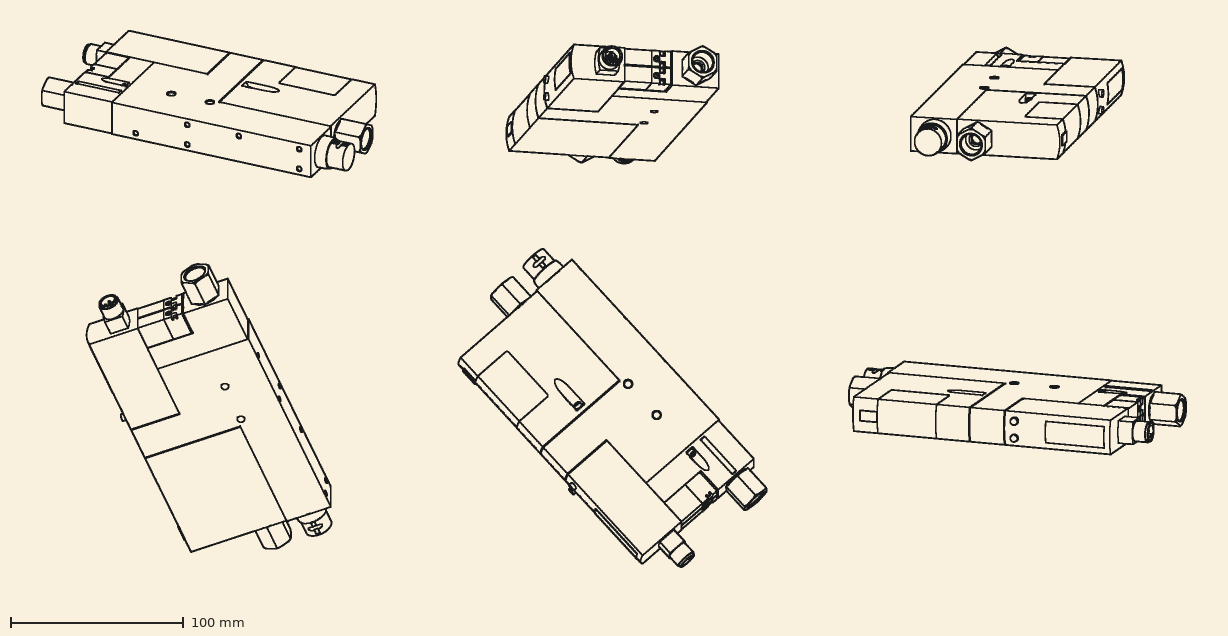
import cadquery as cq
import math


TOTAL_LENGTH = 193.6
HEIGHT = 20.5
HALF_HEIGHT = HEIGHT / 2
BACK_CENTRE_Y = 88.7
BACK_EDGE_Y = 87.0
JOINT_GAP = 0.5

LEFT_FACE_X = 17.8
INLET_FRONT_Y = 0.5
INLET_RIGHT_X = 48.5
ELECTRONICS_FRONT_Y = 56.7
ELECTRONICS_RIGHT_X = 82.5
COVER_FRONT_Y = 27.5
COVER_LEFT_X = 104.5
COVER_RIGHT_X = 175.8
MAIN_RIGHT_X = 176.4

COUNTERSINK_ANGLE = 90.0
THROUGH_HOLE_DIAMETER = 4.3
THROUGH_HOLE_MOUTH_DIAMETER = 5.2
THROUGH_HOLE_XS = (74.7, 99.5)
THROUGH_HOLE_Y = 25.2
FRONT_HOLE_DIAMETER = 2.5
FRONT_HOLE_MOUTH_DIAMETER = 3.3
FRONT_HOLE_DEPTH = 5.8
FRONT_HOLE_Z = 6.4
UPPER_FRONT_HOLE_XS = (97.0, 130.1, 168.8)
LOWER_FRONT_HOLE_XS = (63.9, 97.0, 168.8)

SILENCER_Y = 14.5
SILENCER_BASE_DIAMETER = 19.0
SILENCER_BASE_LENGTH = 7.0
SILENCER_BASE_END_DIAMETER = 17.8
SILENCER_DIAMETER = 16.0
SILENCER_SLIT_WIDTH = 2.3
SILENCER_SLIT_DEPTH = 0.5
SILENCER_SLIT_MARGIN = 0.8
SILENCER_GROOVE_DIAMETER = 2.5
SILENCER_GROOVE_X = 188.4

HEX_ACROSS_FLATS = 16.8
HEX_TIP_CHAMFER = 0.8
FITTING_LENGTH = 17.0
FITTING_NECK_LENGTH = 0.8
FITTING_NECK_DIAMETER = 16.3
FITTING_MOUTH_DIAMETER = 13.4
FITTING_BORE_DIAMETER = 12.0
FITTING_BORE_DEPTH = 11.6
FITTING_SEAT_DIAMETER = 8.0
FITTING_PASSAGE_DIAMETER = 6.0
FITTING_PASSAGE_DEPTH = 15.5
INLET_FITTING_Y = 14.3
COVER_FITTING_Y = 39.9

ACCESS_SLOPE = 20.0
INLET_ACCESS_DIAMETER = 5.0
INLET_ACCESS_TIP_X = 30.4
INLET_ACCESS_END_X = 46.9
INLET_ACCESS_Y = 24.8
COVER_ACCESS_DIAMETER = 6.0
COVER_ACCESS_TIP_X = 129.5
COVER_ACCESS_END_X = 107.3
COVER_ACCESS_Y = 54.8
ACCESS_SCREW_DIAMETER = 4.5
ACCESS_SCREW_LENGTH = 2.1
ACCESS_STUB_DIAMETER = 3.1
ACCESS_STUB_LENGTH = 2.7

TOP_GROOVE_DIAMETER = 3.1
TOP_GROOVE_START_X = 19.4
TOP_GROOVE_END_X = 46.9
TOP_GROOVE_Y = 14.5
VALVE_RIGHT_X = 33.0
VALVE_FRONT_Y = 29.2
VALVE_SPLIT_Y = 40.5
VALVE_TOP_INSET = 0.4
VALVE_CAP_INSET = 0.1
VALVE_SIDE_GAP = 1.0
VALVE_MIDDLE_GAP = 0.8
VALVE_SCREW_DIAMETER = 3.3
VALVE_SCREW_DEPTH = 1.0
VALVE_SOCKET_DIAMETER = 2.0
VALVE_SOCKET_DEPTH = 2.0
VALVE_SCREW_Y = 37.5
VALVE_CENTRE_Z = 5.0
CONTACT_SLOT_Y = 34.3
CONTACT_SLOT_WIDTH = 3.3
CONTACT_SLOT_HEIGHT = 7.0
CONTACT_SLOT_DEPTH = 2.3
CONTACT_SLOT_RADIUS = 0.5
CONTACT_WALL = 0.8
CONTACT_RECESS = 1.2

PLUG_Y = 68.1
PLUG_BASE_LENGTH = 9.0
PLUG_BASE_HEIGHT = 13.4
PLUG_BASE_EDGE_WIDTH = 10.8
PLUG_BASE_MIDDLE_WIDTH = 12.8
PLUG_NOSE_DIAMETER = 12.0
PLUG_TIP_DIAMETER = 10.8
PLUG_TIP_LENGTH = 1.4
PLUG_BORE_DIAMETER = 8.5
PLUG_BORE_DEPTH = 7.7
PLUG_PIN_DIAMETER = 1.0
PLUG_PIN_LENGTH = 5.8
PLUG_PIN_SPACING = 2.3
PLUG_KEY_WIDTH = 1.7
PLUG_KEY_HEIGHT = 1.2
PLUG_KEY_LENGTH = 7.0
DISPLAY_LEFT_X = 21.3
DISPLAY_RIGHT_X = 57.3
DISPLAY_HEIGHT = 12.8
DISPLAY_RISE = 0.2
BUTTON_DIAMETER = 4.3
BUTTON_X = 76.3
BUTTON_Z = 5.0
BUTTON_TOP_Y = 90.0

LABEL_LEFT_X = 124.9
LABEL_RIGHT_X = 160.9
LABEL_FRONT_Y = 64.0
LABEL_RADIUS = 1.2
LABEL_DEPTH = 0.1
PAD_LENGTH = 10.3
PAD_HEIGHT = 6.2
PAD_TOP_Y = 89.2


def box(x0, x1, y0, y1, z0, z1):
    """Box between two opposite corners."""
    return cq.Workplane("XY").box(x1 - x0, y1 - y0, z1 - z0, centered=False).translate((x0, y0, z0))


def x_cylinder(x0, x1, y, z, diameter):
    """Cylinder along X."""
    return cq.Workplane("YZ", origin=(x0, y, z)).circle(diameter / 2).extrude(x1 - x0)


def y_cylinder(x, y0, y1, z, diameter):
    """Cylinder along Y."""
    return cq.Workplane("XZ", origin=(x, y0, z)).circle(diameter / 2).extrude(y0 - y1)


def domed_block(x0, x1, front_y):
    """Full-height block whose back face is one shallow arc."""
    return (
        cq.Workplane("YZ", origin=(x0, 0, 0))
        .moveTo(front_y, -HALF_HEIGHT)
        .lineTo(BACK_EDGE_Y, -HALF_HEIGHT)
        .threePointArc((BACK_CENTRE_Y, 0), (BACK_EDGE_Y, HALF_HEIGHT))
        .lineTo(front_y, HALF_HEIGHT)
        .close()
        .extrude(x1 - x0)
    )


def hex_fitting():
    """Hose fitting along X: neck on X = 0, hexagon with its bore opening towards -X."""
    corner_diameter = HEX_ACROSS_FLATS / math.cos(math.pi / 6)
    hexagon = (
        cq.Workplane("YZ", origin=(-FITTING_LENGTH, 0, 0))
        .transformed(rotate=(0, 0, 90))
        .polygon(6, corner_diameter)
        .extrude(FITTING_LENGTH - FITTING_NECK_LENGTH)
    )
    turned_blank = (
        x_cylinder(-FITTING_LENGTH, 0, 0, 0, corner_diameter)
        .faces("<X")
        .chamfer(HEX_TIP_CHAMFER)
    )
    neck = x_cylinder(-FITTING_NECK_LENGTH, 0, 0, 0, FITTING_NECK_DIAMETER)

    mouth_depth = (FITTING_MOUTH_DIAMETER - FITTING_BORE_DIAMETER) / 2
    seat_depth = (FITTING_SEAT_DIAMETER - FITTING_PASSAGE_DIAMETER) / 2
    bore = (
        cq.Workplane("XY")
        .moveTo(-FITTING_LENGTH, 0)
        .lineTo(-FITTING_LENGTH, FITTING_MOUTH_DIAMETER / 2)
        .lineTo(-FITTING_LENGTH + mouth_depth, FITTING_BORE_DIAMETER / 2)
        .lineTo(-FITTING_LENGTH + FITTING_BORE_DEPTH, FITTING_BORE_DIAMETER / 2)
        .lineTo(-FITTING_LENGTH + FITTING_BORE_DEPTH, FITTING_SEAT_DIAMETER / 2)
        .lineTo(-FITTING_LENGTH + FITTING_BORE_DEPTH + seat_depth, FITTING_PASSAGE_DIAMETER / 2)
        .lineTo(-FITTING_LENGTH + FITTING_PASSAGE_DEPTH, FITTING_PASSAGE_DIAMETER / 2)
        .lineTo(-FITTING_LENGTH + FITTING_PASSAGE_DEPTH, 0)
        .close()
        .revolve(360, (0, 0, 0), (1, 0, 0))
    )
    return hexagon.intersect(turned_blank).union(neck).cut(bore)


def access_slot(tip_x, end_x, y, diameter):
    """Round-bottomed slot sloping from tip_x down to end_x, where a screw stands out of its end wall."""
    radius = diameter / 2
    slope = math.radians(ACCESS_SLOPE)
    plan_length = abs(end_x - tip_x)
    axis_entry = radius / math.sin(slope)
    end_distance = (plan_length - axis_entry) * math.cos(slope)
    run_in = 2 * axis_entry

    floor = x_cylinder(-run_in, end_distance, 0, 0, diameter)
    opening = box(-run_in, end_distance, -radius, radius, 0, HEIGHT)
    stub = x_cylinder(end_distance - ACCESS_STUB_LENGTH, end_distance, 0, 0, ACCESS_STUB_DIAMETER)
    screw = x_cylinder(end_distance - ACCESS_SCREW_LENGTH, end_distance, 0, 0, ACCESS_SCREW_DIAMETER)
    slot = floor.union(opening).cut(stub.union(screw))
    slot = slot.rotate((0, 0, 0), (0, 1, 0), ACCESS_SLOPE)
    direction = 1
    if end_x < tip_x:
        slot = slot.rotate((0, 0, 0), (0, 0, 1), 180)
        direction = -1
    return slot.translate((tip_x + direction * axis_entry, y, HALF_HEIGHT))


def silencer():
    base_end = MAIN_RIGHT_X + SILENCER_BASE_LENGTH
    radius = SILENCER_DIAMETER / 2
    base = (
        cq.Workplane("XY", origin=(0, SILENCER_Y, 0))
        .moveTo(MAIN_RIGHT_X, 0)
        .lineTo(MAIN_RIGHT_X, SILENCER_BASE_DIAMETER / 2)
        .threePointArc(
            ((MAIN_RIGHT_X + base_end) / 2, SILENCER_BASE_DIAMETER / 2),
            (base_end, SILENCER_BASE_END_DIAMETER / 2),
        )
        .lineTo(base_end, 0)
        .close()
        .revolve(360, (0, 0, 0), (1, 0, 0))
    )
    body = base.union(x_cylinder(MAIN_RIGHT_X, TOTAL_LENGTH, SILENCER_Y, 0, SILENCER_DIAMETER))
    for side in (1, -1):
        slit = box(
            base_end + SILENCER_SLIT_MARGIN,
            TOTAL_LENGTH - SILENCER_SLIT_MARGIN,
            SILENCER_Y - SILENCER_SLIT_WIDTH / 2,
            SILENCER_Y + SILENCER_SLIT_WIDTH / 2,
            -SILENCER_SLIT_DEPTH,
            SILENCER_SLIT_DEPTH,
        ).translate((0, 0, side * radius))
        groove = y_cylinder(
            SILENCER_GROOVE_X, SILENCER_Y - radius, SILENCER_Y + radius,
            side * radius, SILENCER_GROOVE_DIAMETER,
        )
        body = body.cut(slit).cut(groove)
    return body


def make_main_block():
    block = domed_block(INLET_RIGHT_X, MAIN_RIGHT_X, 0)
    electronics_space = box(
        INLET_RIGHT_X, ELECTRONICS_RIGHT_X + JOINT_GAP,
        ELECTRONICS_FRONT_Y, BACK_CENTRE_Y, -HALF_HEIGHT, HALF_HEIGHT,
    )
    cover_space = box(
        COVER_LEFT_X - JOINT_GAP, MAIN_RIGHT_X,
        COVER_FRONT_Y, BACK_CENTRE_Y, -HALF_HEIGHT, HALF_HEIGHT,
    )
    block = block.cut(electronics_space).cut(cover_space)

    for x in THROUGH_HOLE_XS:
        block = (
            block.faces(">Z")
            .workplane(origin=(x, THROUGH_HOLE_Y, HALF_HEIGHT))
            .cskHole(THROUGH_HOLE_DIAMETER, THROUGH_HOLE_MOUTH_DIAMETER, COUNTERSINK_ANGLE)
        )
    for xs, z in ((UPPER_FRONT_HOLE_XS, FRONT_HOLE_Z), (LOWER_FRONT_HOLE_XS, -FRONT_HOLE_Z)):
        for x in xs:
            block = (
                block.faces("<Y")
                .workplane(origin=(x, 0, z))
                .cskHole(
                    FRONT_HOLE_DIAMETER, FRONT_HOLE_MOUTH_DIAMETER, COUNTERSINK_ANGLE, FRONT_HOLE_DEPTH
                )
            )
    return block.union(silencer())


def cut_valve_gaps(block):
    """Recess the valves below the block faces and part them from the block and each other."""
    for side in (1, -1):
        skin = box(
            LEFT_FACE_X, VALVE_RIGHT_X, VALVE_FRONT_Y, ELECTRONICS_FRONT_Y,
            -VALVE_TOP_INSET, VALVE_TOP_INSET,
        ).translate((0, 0, side * HALF_HEIGHT))
        cap_depth = VALVE_TOP_INSET + VALVE_CAP_INSET
        cap_skin = box(
            LEFT_FACE_X, VALVE_RIGHT_X, VALVE_SPLIT_Y, ELECTRONICS_FRONT_Y, -cap_depth, cap_depth,
        ).translate((0, 0, side * HALF_HEIGHT))
        block = block.cut(skin).cut(cap_skin)
    cap_face = box(
        LEFT_FACE_X, LEFT_FACE_X + VALVE_CAP_INSET,
        VALVE_SPLIT_Y, ELECTRONICS_FRONT_Y, -HALF_HEIGHT, HALF_HEIGHT,
    )
    side_gap = box(
        LEFT_FACE_X, VALVE_RIGHT_X, VALVE_FRONT_Y - VALVE_SIDE_GAP, VALVE_FRONT_Y,
        -HALF_HEIGHT, HALF_HEIGHT,
    )
    middle_gap = box(
        LEFT_FACE_X, VALVE_RIGHT_X, VALVE_FRONT_Y, ELECTRONICS_FRONT_Y,
        -VALVE_MIDDLE_GAP / 2, VALVE_MIDDLE_GAP / 2,
    )
    return block.cut(cap_face).cut(side_gap).cut(middle_gap)


def cut_valve_details(block):
    """Stepped screw recesses and contact slots, each with a contact standing in it, in the left face."""
    screw_steps = (
        (VALVE_SCREW_DIAMETER, VALVE_SCREW_DEPTH),
        (VALVE_SOCKET_DIAMETER, VALVE_SOCKET_DEPTH),
    )
    for z in (VALVE_CENTRE_Z, -VALVE_CENTRE_Z):
        for diameter, depth in screw_steps:
            recess = x_cylinder(LEFT_FACE_X, LEFT_FACE_X + depth, VALVE_SCREW_Y, z, diameter)
            block = block.cut(recess)

    slot = (
        cq.Workplane("YZ")
        .rect(CONTACT_SLOT_WIDTH, CONTACT_SLOT_HEIGHT)
        .extrude(CONTACT_SLOT_DEPTH)
        .edges("|X")
        .fillet(CONTACT_SLOT_RADIUS)
    )
    contact = (
        cq.Workplane("YZ", origin=(CONTACT_RECESS, 0, 0))
        .rect(CONTACT_SLOT_WIDTH - 2 * CONTACT_WALL, CONTACT_SLOT_HEIGHT - 2 * CONTACT_WALL)
        .extrude(CONTACT_SLOT_DEPTH - CONTACT_RECESS)
    )
    ring = slot.cut(contact)
    for z in (HALF_HEIGHT, 0, -HALF_HEIGHT):
        block = block.cut(ring.translate((LEFT_FACE_X, CONTACT_SLOT_Y, z)))
    return block


def make_inlet_block():
    block = box(
        LEFT_FACE_X, INLET_RIGHT_X, INLET_FRONT_Y, ELECTRONICS_FRONT_Y, -HALF_HEIGHT, HALF_HEIGHT
    )
    block = cut_valve_details(cut_valve_gaps(block))
    block = block.cut(x_cylinder(
        TOP_GROOVE_START_X, TOP_GROOVE_END_X, TOP_GROOVE_Y, HALF_HEIGHT, TOP_GROOVE_DIAMETER
    ))
    block = block.cut(access_slot(
        INLET_ACCESS_TIP_X, INLET_ACCESS_END_X, INLET_ACCESS_Y, INLET_ACCESS_DIAMETER
    ))
    return block.union(hex_fitting().translate((LEFT_FACE_X, INLET_FITTING_Y, 0)))


def plug_connector():
    """Round plug on a base with flat top and bottom and bulging sides, bored for its pins."""
    base_left_x = LEFT_FACE_X - PLUG_BASE_LENGTH
    edge = PLUG_BASE_EDGE_WIDTH / 2
    middle = PLUG_BASE_MIDDLE_WIDTH / 2
    half = PLUG_BASE_HEIGHT / 2
    base = (
        cq.Workplane("YZ", origin=(base_left_x, PLUG_Y, 0))
        .moveTo(-edge, -half)
        .lineTo(edge, -half)
        .threePointArc((middle, 0), (edge, half))
        .lineTo(-edge, half)
        .threePointArc((-middle, 0), (-edge, -half))
        .close()
        .extrude(PLUG_BASE_LENGTH)
    )
    nose = x_cylinder(PLUG_TIP_LENGTH, base_left_x, PLUG_Y, 0, PLUG_NOSE_DIAMETER)
    tip = x_cylinder(0, PLUG_TIP_LENGTH, PLUG_Y, 0, PLUG_TIP_DIAMETER)
    bore = x_cylinder(0, PLUG_BORE_DEPTH, PLUG_Y, 0, PLUG_BORE_DIAMETER)
    plug = base.union(nose).union(tip).cut(bore)

    for row, column in ((0, 0), (1, 0), (-1, 0), (0, 1), (0, -1)):
        pin = x_cylinder(
            PLUG_BORE_DEPTH - PLUG_PIN_LENGTH, PLUG_BORE_DEPTH,
            PLUG_Y + column * PLUG_PIN_SPACING, row * PLUG_PIN_SPACING, PLUG_PIN_DIAMETER,
        )
        plug = plug.union(pin)
    key_outer_z = -PLUG_BORE_DIAMETER / 2
    key = (
        box(
            PLUG_BORE_DEPTH - PLUG_KEY_LENGTH, PLUG_BORE_DEPTH,
            -PLUG_KEY_WIDTH / 2, PLUG_KEY_WIDTH / 2, key_outer_z, key_outer_z + PLUG_KEY_HEIGHT,
        )
        .rotate((0, 0, 0), (1, 0, 0), -45)
        .translate((0, PLUG_Y, 0))
    )
    return plug.union(key)


def make_electronics_block():
    block = domed_block(LEFT_FACE_X, ELECTRONICS_RIGHT_X, ELECTRONICS_FRONT_Y)
    display_outline = box(
        DISPLAY_LEFT_X, DISPLAY_RIGHT_X, BACK_EDGE_Y, BACK_CENTRE_Y + DISPLAY_RISE,
        -DISPLAY_HEIGHT / 2, DISPLAY_HEIGHT / 2,
    )
    display = display_outline.intersect(block.translate((0, DISPLAY_RISE, 0)))
    block = block.union(display)
    for z in (BUTTON_Z, -BUTTON_Z):
        block = block.union(y_cylinder(BUTTON_X, BACK_EDGE_Y, BUTTON_TOP_Y, z, BUTTON_DIAMETER))
    return block.union(plug_connector())


def make_cover():
    block = domed_block(COVER_LEFT_X, COVER_RIGHT_X, COVER_FRONT_Y)
    label = (
        box(
            LABEL_LEFT_X, LABEL_RIGHT_X, LABEL_FRONT_Y, BACK_CENTRE_Y, -HALF_HEIGHT, HALF_HEIGHT
        )
        .edges("|Z and <Y")
        .fillet(LABEL_RADIUS)
        .cut(block.translate((0, -LABEL_DEPTH, -LABEL_DEPTH)))
    )
    pad = box(
        LABEL_RIGHT_X, LABEL_RIGHT_X + PAD_LENGTH, BACK_EDGE_Y, PAD_TOP_Y,
        -PAD_HEIGHT / 2, PAD_HEIGHT / 2,
    )
    fitting = (
        hex_fitting()
        .rotate((0, 0, 0), (0, 0, 1), 180)
        .translate((COVER_RIGHT_X, COVER_FITTING_Y, 0))
    )
    slot = access_slot(COVER_ACCESS_TIP_X, COVER_ACCESS_END_X, COVER_ACCESS_Y, COVER_ACCESS_DIAMETER)
    return block.cut(label).cut(slot).union(pad).union(fitting)


main_block = make_main_block()
inlet_block = make_inlet_block()
electronics_block = make_electronics_block()
cover = make_cover()

result = cq.Compound.makeCompound(
    [main_block.val(), inlet_block.val(), electronics_block.val(), cover.val()]
)